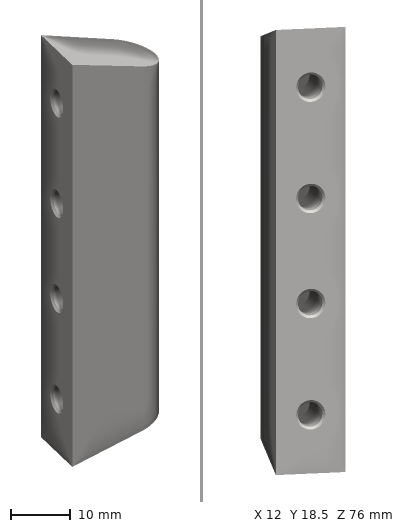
import cadquery as cq
import math

length = 76.0
base_width = 12.0
depth = 18.5
half_length = length / 2

side_draft = math.radians(2.2)
end_slope = math.radians(15)

hole_diameter = 4.2
mouth_diameter = 5.0
hole_depth = 9.9
hole_spacing = 19.0
joint_offset = 0.5
mid_hole_height = half_length / 2 - joint_offset
hole_heights = [mid_hole_height - hole_spacing / 2, mid_hole_height + hole_spacing / 2]
mouth_chamfer = (mouth_diameter - hole_diameter) / 2

half_width = base_width / 2
nose_radius = (half_width * math.cos(side_draft) - depth * math.sin(side_draft)) / (1 - math.sin(side_draft))
nose_center_y = depth - nose_radius
tangent_x = nose_radius * math.cos(side_draft)
tangent_y = nose_center_y + nose_radius * math.sin(side_draft)


def rounded_bar():
    """Tapered, round-nosed section standing on the joint plane Z = 0."""
    return (
        cq.Workplane("XY")
        .moveTo(-half_width, 0)
        .lineTo(half_width, 0)
        .lineTo(tangent_x, tangent_y)
        .threePointArc((0, depth), (-tangent_x, tangent_y))
        .close()
        .extrude(half_length)
    )


def end_envelope():
    """Side profile whose outer end slopes down towards the nose."""
    nose_height = half_length - depth * math.tan(end_slope)
    return (
        cq.Workplane("YZ")
        .polyline([(0, 0), (depth, 0), (depth, nose_height), (0, half_length)])
        .close()
        .extrude(half_width, both=True)
    )


def mounting_hole(height):
    """Cutter for one blind hole, entering the mounting face along +Y."""
    hole_radius = hole_diameter / 2
    start = cq.Vector(0, 0, height)
    inward = cq.Vector(0, 1, 0)
    bore = cq.Solid.makeCylinder(hole_radius, hole_depth, start, inward)
    mouth = cq.Solid.makeCone(mouth_diameter / 2, hole_radius, mouth_chamfer, start, inward)
    return bore.fuse(mouth)


def grip_block():
    """Upper block, from the joint plane to its sloped end."""
    block = rounded_bar().intersect(end_envelope())
    for height in hole_heights:
        block = block.cut(mounting_hole(height))
    return block


blocks = []
for mirrored in (False, True):
    block = grip_block()
    if mirrored:
        block = block.mirror("XY")
    blocks.append(block.val())

result = cq.Compound.makeCompound(blocks)